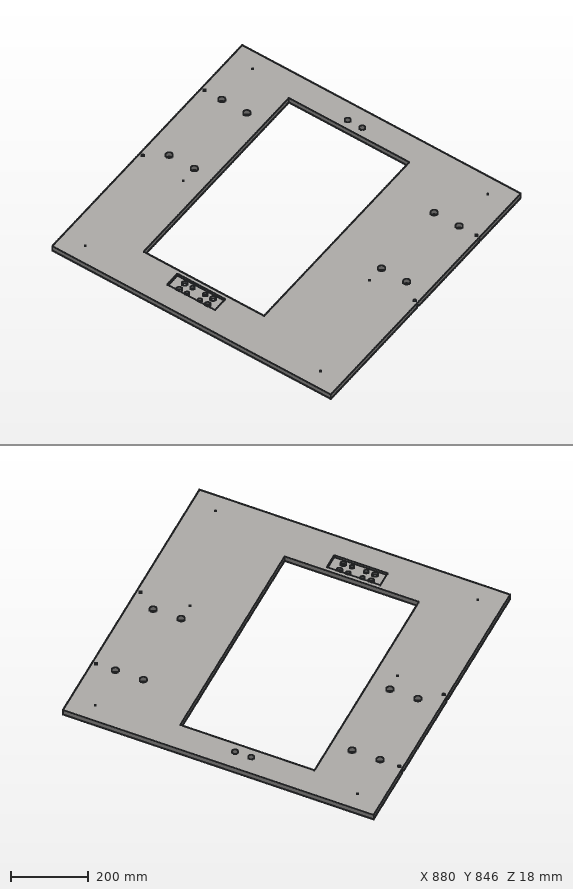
import cadquery as cq

length = 880.0
width = 846.0
thickness = 18.0

window_x = -47.0
window_length = 380.0
window_width = 646.0
window_y = 21.0

recess_x = -47.0
recess_y = -336.0
recess_length = 151.0
recess_width = 46.0
recess_depth = 8.0
row_spacing = 24.0
inner_hole_offset = 20.0
outer_hole_offset = 45.0
inner_hole_diameter = 12.0
outer_hole_diameter = 16.0

cable_hole_y = 370.5
cable_hole_spacing = 46.0
cable_hole_diameter = 16.0

mount_hole_xs = (296.0, 375.0)
mount_hole_ys = (6.0, 240.0)
mount_hole_diameter = 19.0

edge_hole_x = 429.0
edge_hole_ys = (-34.0, 240.0)
edge_hole_diameter = 7.0
groove_width = edge_hole_diameter
groove_depth = 3.5

pin_diameter = 3.0
corner_pin_x = 371.0
corner_pin_y = 372.0
inner_pin_x = 294.0
inner_pin_y = -45.0


def mirrored(xs, ys):
    """Every (x, y) pair together with its mirror image across the YZ plane."""
    return [(side * x, y) for side in (-1, 1) for x in xs for y in ys]


def through_holes(points, diameter):
    return cq.Workplane("XY").pushPoints(points).circle(diameter / 2).extrude(thickness)


def connector_recess():
    center = cq.Workplane("XY").center(recess_x, recess_y)
    cutter = center.workplane(offset=thickness - recess_depth).rect(recess_length, recess_width)
    cutter = cutter.extrude(recess_depth)
    rows = [recess_y - row_spacing / 2, recess_y + row_spacing / 2]
    for offset, diameter in (
        (inner_hole_offset, inner_hole_diameter),
        (outer_hole_offset, outer_hole_diameter),
    ):
        points = [(window_x + side * offset, y) for side in (-1, 1) for y in rows]
        cutter = cutter.union(through_holes(points, diameter))
    return cutter


def edge_grooves():
    """Shallow underside grooves from both side edges to the edge holes."""
    groove_length = length / 2 - edge_hole_x
    groove_x = (length / 2 + edge_hole_x) / 2
    grooves = cq.Workplane("XY").pushPoints(mirrored([groove_x], edge_hole_ys))
    return grooves.rect(groove_length, groove_width).extrude(groove_depth)


plate = cq.Workplane("XY").box(length, width, thickness, centered=(True, True, False))
window_outline = cq.Workplane("XY").center(window_x, window_y).rect(window_length, window_width)
window = window_outline.extrude(thickness)
cable_holes = [(window_x + side * cable_hole_spacing / 2, cable_hole_y) for side in (-1, 1)]
pin_holes = mirrored([corner_pin_x], [-corner_pin_y, corner_pin_y]) + mirrored([inner_pin_x], [inner_pin_y])

result = plate.cut(window)
result = result.cut(connector_recess())
result = result.cut(through_holes(cable_holes, cable_hole_diameter))
result = result.cut(through_holes(mirrored(mount_hole_xs, mount_hole_ys), mount_hole_diameter))
result = result.cut(through_holes(mirrored([edge_hole_x], edge_hole_ys), edge_hole_diameter))
result = result.cut(through_holes(pin_holes, pin_diameter))
result = result.cut(edge_grooves())